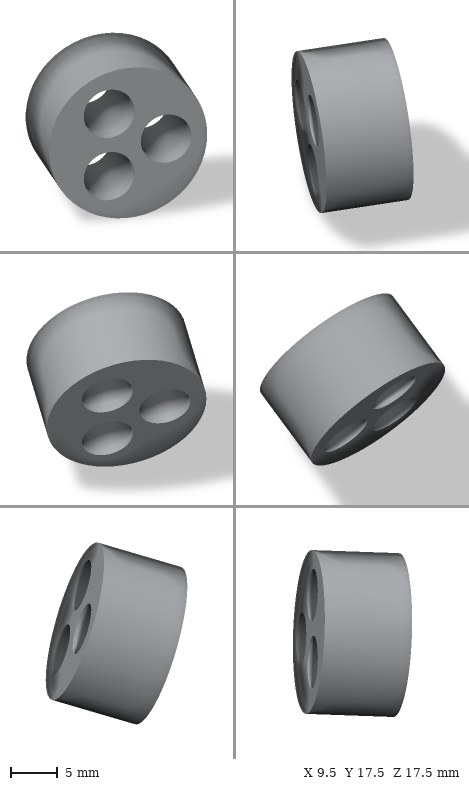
import cadquery as cq

body_diameter = 17.5
body_length = 9.5
hole_diameter = 5.6
hole_count = 3
hole_circle_radius = 4.2

body = cq.Workplane("YZ").circle(body_diameter / 2).extrude(body_length)

holes = (
    cq.Workplane("YZ")
    .polarArray(hole_circle_radius, 0, 360, hole_count)
    .circle(hole_diameter / 2)
    .extrude(body_length)
)

result = body.cut(holes)